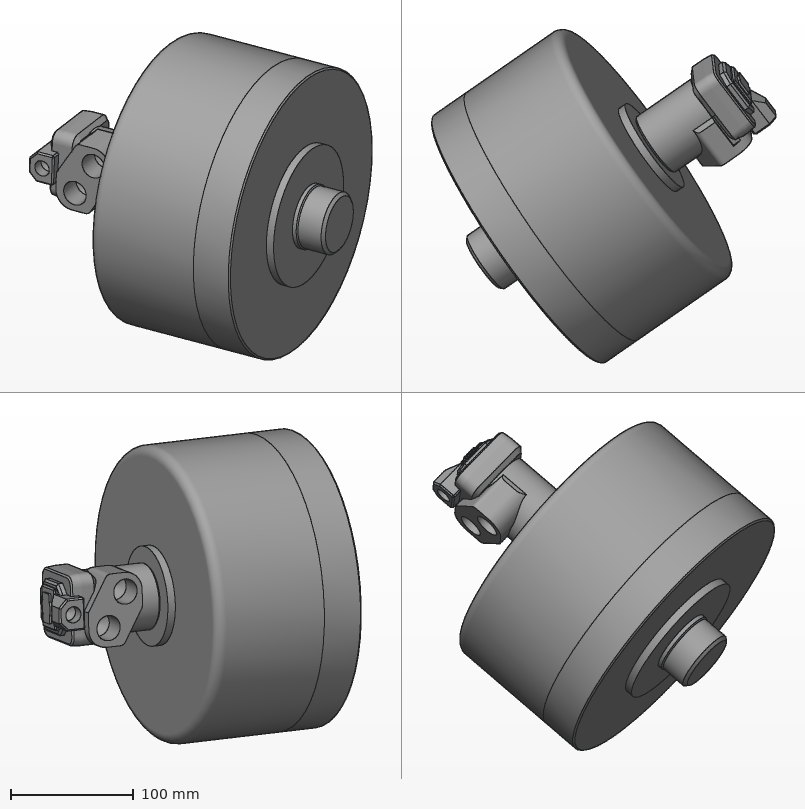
import cadquery as cq
import math


DRUM_RADIUS = 122.5
DRUM_LENGTH = 96.0
DRUM_REAR_FILLET = 8.3
REAR_FLANGE_RADIUS = 41.0
REAR_FLANGE_LENGTH = 6.7
COVER_LENGTH = 33.6
COVER_CHAMFER = 1.3
PILOT_RADIUS = 59.8
PILOT_LENGTH = 6.7

COLLAR_RADIUS = 27.5
COLLAR_LENGTH = 4.8
COLLAR_CHAMFER = 1.3
ROD_RADIUS = 26.5
ROD_LENGTH = 28.5
ROD_CHAMFER = 2.7

MOUNT_ANGLE = -4.0

SHAFT_RADIUS = 27.5
SHAFT_CHAMFER = 1.5

BLOCK_FACE = 38.0
BLOCK_MID_X = -52.0
BLOCK_HALF_WIDTH = 24.3
BLOCK_HALF_HEIGHT = 30.2
BLOCK_CORNER_OFFSET = 6.5
BLOCK_ROUND_RADIUS = 15.5
BLOCK_SMALL_RADIUS = 5.3
BLOCK_BEVEL_LENGTH = 4.0
PORT_RADIUS = 10.5
PORT_DEPTH = 21.4
UPPER_PORT = (-42.7, 14.2)
LOWER_PORT = (-58.7, -14.5)
DRILL_TIP_ANGLE = 118.0

CAP_WIDTH = 59.5
CAP_CORNER_RADIUS = 9.0
CAP_FRONT_X = -87.0
CAP_PARTING_X = -78.0
CAP_SHOULDER_X = -67.0
CAP_BACK_X = -63.0
CAP_DRAFT = 6.0
CAP_BEVEL_HEIGHT = 4.0
CAP_EDGE_CHAMFER = 1.3
CAP_FLOOR_WALL = 2.7

PLATE_WIDTH = 43.3
PLATE_CORNER_CUT = 9.0
PLATE_THICKNESS = 5.5
PLATE_EDGE_CHAMFER = 2.0
LID_WIDTH = 25.5
LID_HEIGHT = 35.2
LID_THICKNESS = 2.5
LID_EDGE_CHAMFER = 1.3
PAD_WIDTH = 12.5
PAD_HEIGHT = 24.8
PAD_CORNER_RADIUS = 1.3
PAD_THICKNESS = 2.0
PAD_BULGE_HALF_WIDTH = 7.7
PAD_BULGE_HALF_HEIGHT = 10.0
OUTLET_NOSE_X = -102.0
OUTLET_BACK_X = -79.3
OUTLET_FACE = 38.0
OUTLET_RAMP_START = 11.7
OUTLET_RAMP_END = 22.5
OUTLET_HALF_HEIGHT = 13.4
OUTLET_NOSE_HALF_HEIGHT = 6.5
OUTLET_NOSE_DEPTH = 7.0
OUTLET_EDGE_CHAMFER = 1.3
OUTLET_HOLE_X = -89.7
OUTLET_HOLE_RADIUS = 6.7
OUTLET_HOLE_DEPTH = 10.7

COVER_FRONT_X = DRUM_LENGTH + COVER_LENGTH
PILOT_FRONT_X = COVER_FRONT_X + PILOT_LENGTH
PLATE_FRONT_X = CAP_FRONT_X - PLATE_THICKNESS
LID_FRONT_X = PLATE_FRONT_X - LID_THICKNESS


def section_at(x):
    """Plane across the axis, facing +X: local x is Y, local y is Z."""
    return cq.Workplane("YZ", origin=(x, 0, 0))


def mounted(body):
    """Turn a stationary body about the X axis into its final place."""
    return body.rotate((0, 0, 0), (1, 0, 0), MOUNT_ANGLE)


def drilled_hole(x, z, face, radius, depth):
    """Blind hole with a drill tip, running in +Y from the plane Y = -face."""
    tip = radius / math.tan(math.radians(DRILL_TIP_ANGLE / 2))
    profile = [
        (x, -face),
        (x + radius, -face),
        (x + radius, depth - face),
        (x, depth + tip - face),
    ]
    return (
        cq.Workplane("XY", origin=(0, 0, z))
        .polyline(profile)
        .close()
        .revolve(360, (x, 0), (x, 1))
    )


def make_drum():
    body = section_at(0).circle(DRUM_RADIUS).extrude(DRUM_LENGTH)
    body = body.faces("<X").edges().fillet(DRUM_REAR_FILLET)
    flange = section_at(0).circle(REAR_FLANGE_RADIUS).extrude(-REAR_FLANGE_LENGTH)
    return body.union(flange)


def make_cover():
    body = section_at(DRUM_LENGTH).circle(DRUM_RADIUS).extrude(COVER_LENGTH)
    body = body.faces(">X").chamfer(COVER_CHAMFER)
    pilot = section_at(COVER_FRONT_X).circle(PILOT_RADIUS).extrude(PILOT_LENGTH)
    return body.union(pilot)


def make_rod():
    collar = section_at(PILOT_FRONT_X).circle(COLLAR_RADIUS).extrude(COLLAR_LENGTH)
    collar = collar.faces(">X").chamfer(COLLAR_CHAMFER)
    rod = section_at(PILOT_FRONT_X).circle(ROD_RADIUS).extrude(ROD_LENGTH)
    rod = rod.faces(">X").chamfer(ROD_CHAMFER)
    return collar.union(rod)


def make_cap(port_block, outlet):
    """Drafted square cap, recessed for the port block and the cable outlet."""
    outline = cq.Sketch().rect(CAP_WIDTH, CAP_WIDTH).vertices().fillet(CAP_CORNER_RADIUS)
    bevel_length = CAP_BACK_X - CAP_SHOULDER_X
    bevel_angle = math.degrees(math.atan2(CAP_BEVEL_HEIGHT, bevel_length))
    middle = section_at(CAP_PARTING_X).placeSketch(outline).extrude(CAP_SHOULDER_X - CAP_PARTING_X)
    bevel = section_at(CAP_SHOULDER_X).placeSketch(outline).extrude(bevel_length, taper=bevel_angle)
    front = (
        section_at(CAP_PARTING_X)
        .placeSketch(outline)
        .extrude(CAP_FRONT_X - CAP_PARTING_X, taper=CAP_DRAFT)
        .faces("<X")
        .chamfer(CAP_EDGE_CHAMFER)
    )
    return middle.union(bevel).union(front).cut(port_block).cut(outlet)


def make_port_block():
    left = BLOCK_MID_X - BLOCK_HALF_WIDTH
    right = BLOCK_MID_X + BLOCK_HALF_WIDTH
    small_top_x = BLOCK_MID_X - BLOCK_CORNER_OFFSET
    small_bottom_x = BLOCK_MID_X + BLOCK_CORNER_OFFSET
    block = (
        cq.Workplane("XZ")
        .moveTo(left, 0)
        .lineTo(small_top_x, BLOCK_HALF_HEIGHT)
        .lineTo(right, BLOCK_HALF_HEIGHT)
        .lineTo(right, 0)
        .lineTo(small_bottom_x, -BLOCK_HALF_HEIGHT)
        .lineTo(left, -BLOCK_HALF_HEIGHT)
        .close()
        .extrude(BLOCK_FACE)
    )
    corners = [
        (right, BLOCK_HALF_HEIGHT, BLOCK_ROUND_RADIUS),
        (left, -BLOCK_HALF_HEIGHT, BLOCK_ROUND_RADIUS),
        (small_top_x, BLOCK_HALF_HEIGHT, BLOCK_SMALL_RADIUS),
        (small_bottom_x, -BLOCK_HALF_HEIGHT, BLOCK_SMALL_RADIUS),
    ]
    for x, z, radius in corners:
        corner = cq.selectors.NearestToPointSelector((x, -BLOCK_FACE / 2, z))
        block = block.edges(corner).fillet(radius)

    for side in (1, -1):
        bevel = [
            (0, side * SHAFT_RADIUS),
            (-BLOCK_BEVEL_LENGTH, side * BLOCK_HALF_HEIGHT),
            (0, side * BLOCK_HALF_HEIGHT),
        ]
        wedge = section_at(left).polyline(bevel).close().extrude(right - left)
        block = block.cut(wedge)

    floor_top = CAP_FLOOR_WALL - CAP_WIDTH / 2
    step = cq.Workplane("XY").box(
        CAP_BACK_X - left,
        CAP_WIDTH / 2,
        BLOCK_HALF_HEIGHT + floor_top,
        centered=False,
    )
    return block.cut(step.translate((left, -CAP_WIDTH / 2, -BLOCK_HALF_HEIGHT)))


def make_distributor(port_block):
    shaft = section_at(CAP_BACK_X).circle(SHAFT_RADIUS).extrude(-REAR_FLANGE_LENGTH - CAP_BACK_X)
    shaft = shaft.faces(">X").chamfer(SHAFT_CHAMFER)
    body = port_block.union(shaft)
    for x, z in (UPPER_PORT, LOWER_PORT):
        body = body.cut(drilled_hole(x, z, BLOCK_FACE, PORT_RADIUS, PORT_DEPTH))
    return body


def make_outlet():
    side = [
        (LID_FRONT_X, -OUTLET_RAMP_START),
        (OUTLET_NOSE_X, -OUTLET_RAMP_END),
        (OUTLET_NOSE_X, -OUTLET_FACE),
        (OUTLET_BACK_X, -OUTLET_FACE),
        (OUTLET_BACK_X, -OUTLET_RAMP_END),
        (CAP_FRONT_X, -OUTLET_RAMP_END),
        (CAP_FRONT_X, -OUTLET_RAMP_START),
    ]
    shoulder_x = OUTLET_NOSE_X + OUTLET_NOSE_DEPTH
    nose = [
        (OUTLET_NOSE_X, -OUTLET_NOSE_HALF_HEIGHT),
        (shoulder_x, -OUTLET_HALF_HEIGHT),
        (OUTLET_BACK_X - OUTLET_EDGE_CHAMFER, -OUTLET_HALF_HEIGHT),
        (OUTLET_BACK_X, OUTLET_EDGE_CHAMFER - OUTLET_HALF_HEIGHT),
        (OUTLET_BACK_X, OUTLET_HALF_HEIGHT - OUTLET_EDGE_CHAMFER),
        (OUTLET_BACK_X - OUTLET_EDGE_CHAMFER, OUTLET_HALF_HEIGHT),
        (shoulder_x, OUTLET_HALF_HEIGHT),
        (OUTLET_NOSE_X, OUTLET_NOSE_HALF_HEIGHT),
    ]
    side_body = cq.Workplane("XY").polyline(side).close().extrude(OUTLET_HALF_HEIGHT, both=True)
    nose_body = cq.Workplane("XZ").polyline(nose).close().extrude(OUTLET_FACE)
    nose_body = nose_body.faces("<Y").chamfer(OUTLET_EDGE_CHAMFER)
    return side_body.intersect(nose_body)


def make_connector(outlet):
    plate = section_at(CAP_FRONT_X).rect(PLATE_WIDTH, PLATE_WIDTH).extrude(-PLATE_THICKNESS)
    plate = plate.edges("|X").chamfer(PLATE_CORNER_CUT).faces("<X").chamfer(PLATE_EDGE_CHAMFER)
    lid = section_at(PLATE_FRONT_X).rect(LID_WIDTH, LID_HEIGHT).extrude(-LID_THICKNESS)
    lid = lid.edges("|X").chamfer(LID_EDGE_CHAMFER).faces("<X").chamfer(LID_EDGE_CHAMFER)
    pad = section_at(LID_FRONT_X).rect(PAD_WIDTH, PAD_HEIGHT).extrude(-PAD_THICKNESS)
    pad = pad.edges("|X").fillet(PAD_CORNER_RADIUS)
    bulge = section_at(LID_FRONT_X).ellipse(PAD_BULGE_HALF_WIDTH, PAD_BULGE_HALF_HEIGHT)
    bulge = bulge.extrude(-PAD_THICKNESS)
    hole = drilled_hole(OUTLET_HOLE_X, 0, OUTLET_FACE, OUTLET_HOLE_RADIUS, OUTLET_HOLE_DEPTH)
    body = plate.union(outlet).union(lid).union(pad).union(bulge)
    return body.cut(hole)


drum = make_drum()
cover = make_cover()
rod = make_rod()
port_block = make_port_block()
distributor = make_distributor(port_block)
outlet = make_outlet()
cap = make_cap(port_block, outlet)
connector = make_connector(outlet)

result = cq.Compound.makeCompound([
    drum.val(),
    cover.val(),
    rod.val(),
    mounted(cap).val(),
    mounted(distributor).val(),
    mounted(connector).val(),
])